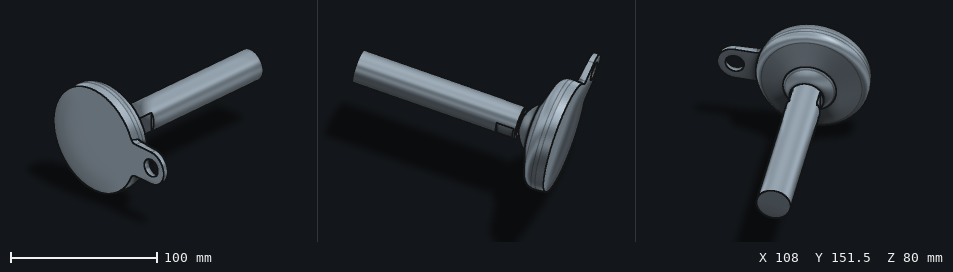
import cadquery as cq
import math

total_length = 151.5

sole_radius = 39.2
rim_radius = 40.0
rim_bottom = 6.0
rim_top = 9.1
shoulder_radius = 7.3
cone_angle = math.radians(19.6)
cone_top_radius = 18.6
dome_radius = 21.0
dome_centre_height = 11.0
dome_bottom_radius = 17.3
neck_radius = 6.7

stem_radius = 12.0
stem_bottom = 31.5
stem_chamfer_width = 1.7
stem_chamfer_height = 0.6
flat_bottom = 33.6
flat_height = 12.4
flat_offset = 9.5

lug_half_width = 12.4
lug_reach = 68.0
lug_root_fillet = 4.5
lug_root_reach = 40.9
lug_root_thickness = 5.6
lug_tip_thickness = 4.1
hole_radius = 6.5


def shoulder_point(angle):
    """Point on the rounded shoulder, with the angle measured up from horizontal."""
    centre_radius = rim_radius - shoulder_radius
    return (
        centre_radius + shoulder_radius * math.cos(angle),
        rim_top + shoulder_radius * math.sin(angle),
    )


def dome_height(radius):
    return dome_centre_height + math.sqrt(dome_radius**2 - radius**2)


def make_foot():
    """Revolved disc with a rounded shoulder, a conical top and a dome."""
    shoulder_sweep = math.pi / 2 - cone_angle
    cone_bottom = shoulder_point(shoulder_sweep)
    cone_rise = (cone_bottom[0] - cone_top_radius) * math.tan(cone_angle)
    dome_middle_radius = (dome_bottom_radius + neck_radius) / 2
    return (
        cq.Workplane("XY")
        .lineTo(sole_radius, 0)
        .lineTo(rim_radius, rim_bottom)
        .lineTo(rim_radius, rim_top)
        .threePointArc(shoulder_point(shoulder_sweep / 2), cone_bottom)
        .lineTo(cone_top_radius, cone_bottom[1] + cone_rise)
        .lineTo(dome_bottom_radius, dome_height(dome_bottom_radius))
        .threePointArc(
            (dome_middle_radius, dome_height(dome_middle_radius)),
            (neck_radius, dome_height(neck_radius)),
        )
        .lineTo(neck_radius, stem_bottom)
        .lineTo(0, stem_bottom)
        .close()
        .revolve(360, (0, 0, 0), (0, 1, 0))
    )


def make_stem():
    """Round stem with a chamfered lower end and two wrench flats."""
    stem = (
        cq.Workplane("XY")
        .moveTo(0, stem_bottom)
        .lineTo(stem_radius - stem_chamfer_width, stem_bottom)
        .lineTo(stem_radius, stem_bottom + stem_chamfer_height)
        .lineTo(stem_radius, total_length)
        .lineTo(0, total_length)
        .close()
        .revolve(360, (0, 0, 0), (0, 1, 0))
    )
    for side in (-1, 1):
        cutter = cq.Workplane("XY").box(stem_radius, flat_height, 2 * stem_radius)
        cutter_x = side * (flat_offset + stem_radius / 2)
        stem = stem.cut(cutter.translate((cutter_x, flat_bottom + flat_height / 2, 0)))
    return stem


def make_lug():
    """Tapered lug with a round tip and fillets where it leaves the sole."""
    tip_centre = lug_reach - lug_half_width
    fillet_z = lug_half_width + lug_root_fillet
    fillet_distance = sole_radius + lug_root_fillet
    fillet_x = math.sqrt(fillet_distance**2 - fillet_z**2)
    root_x = fillet_x * sole_radius / fillet_distance
    root_z = fillet_z * sole_radius / fillet_distance
    fillet_middle_angle = (math.atan2(fillet_z, fillet_x) + math.pi / 2) / 2
    middle_x = fillet_x - lug_root_fillet * math.cos(fillet_middle_angle)
    middle_z = fillet_z - lug_root_fillet * math.sin(fillet_middle_angle)

    outline = (
        cq.Workplane("XZ")
        .moveTo(0, root_z)
        .lineTo(root_x, root_z)
        .threePointArc((middle_x, middle_z), (fillet_x, lug_half_width))
        .lineTo(tip_centre, lug_half_width)
        .threePointArc((lug_reach, 0), (tip_centre, -lug_half_width))
        .lineTo(fillet_x, -lug_half_width)
        .threePointArc((middle_x, -middle_z), (root_x, -root_z))
        .lineTo(0, -root_z)
        .close()
        .extrude(-2 * lug_root_thickness)
    )

    slope = (lug_root_thickness - lug_tip_thickness) / (lug_reach - lug_root_reach)
    axis_thickness = lug_tip_thickness + slope * lug_reach
    wedge = (
        cq.Workplane("XY")
        .lineTo(lug_reach, 0)
        .lineTo(lug_reach, lug_tip_thickness)
        .lineTo(0, axis_thickness)
        .close()
        .extrude(root_z, both=True)
    )
    hole = (
        cq.Workplane("XZ")
        .center(tip_centre, 0)
        .circle(hole_radius)
        .extrude(-lug_root_thickness)
    )
    return outline.intersect(wedge).cut(hole)


result = make_foot().union(make_stem()).union(make_lug())